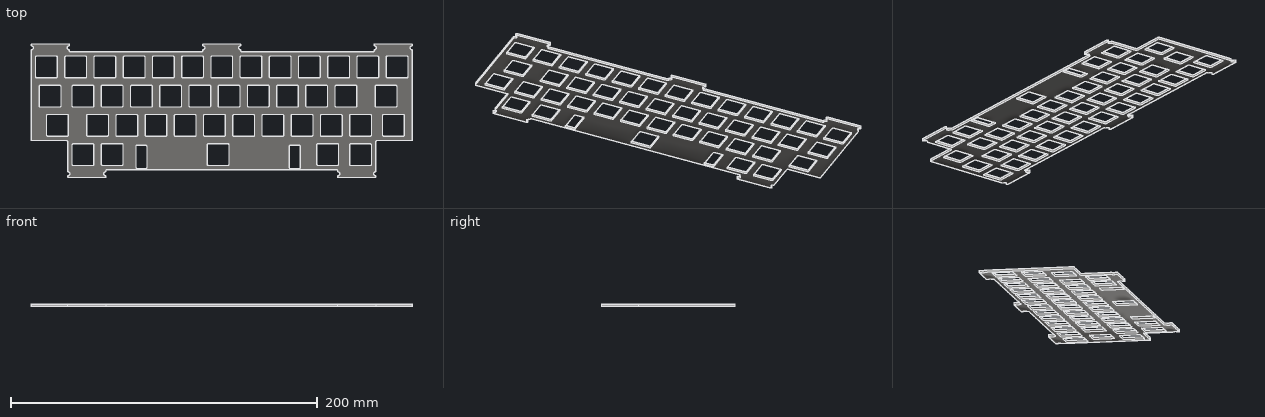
import cadquery as cq

UNIT = 19.05
ROW_UNITS = 13
ROW_COUNT = 4
BOTTOM_ROW_UNITS = 10.5
SWITCH_SIZE = 14.0
OPENING_RADIUS = 0.5

THICKNESS = 1.5
MARGIN = 0.475
CORNER_RADIUS = 0.5

TAB_WIDTH = 25.0
TAB_DEPTH = 5.0
NOTCH_RADIUS = 1.2
NOTCH_OFFSET = 0.25
NOTCH_INSET = 2.5

SPACEBAR_CENTER = -0.125
STABILIZER_SPACING = 100.0
STABILIZER_WIDTH = 7.0
STABILIZER_LENGTH = 15.0
STABILIZER_DROP = 1.5

WIDE_KEY_OUTER = 5.875
WIDE_KEY_INNER = 5.625

RUN_LENGTH = 10
UPPER_RUN_START = -4.75
LOWER_RUN_START = -4.25

SWITCH_ROWS = [
    [i - (ROW_UNITS - 1) / 2 for i in range(ROW_UNITS)],
    [-WIDE_KEY_OUTER] + [UPPER_RUN_START + i for i in range(RUN_LENGTH)] + [WIDE_KEY_INNER],
    [-WIDE_KEY_INNER] + [LOWER_RUN_START + i for i in range(RUN_LENGTH)] + [WIDE_KEY_OUTER],
    [-4.75, -3.75, SPACEBAR_CENTER, 3.625, 4.75],
]

HALF_WIDTH = ROW_UNITS * UNIT / 2 + MARGIN
HALF_BOTTOM_WIDTH = BOTTOM_ROW_UNITS * UNIT / 2 + MARGIN
HALF_DEPTH = ROW_COUNT * UNIT / 2 + MARGIN
TAB_END = HALF_DEPTH + TAB_DEPTH
STEP_Y = -UNIT - MARGIN

TOP_TAB_CENTERS = [-HALF_WIDTH + TAB_WIDTH / 2, 0, HALF_WIDTH - TAB_WIDTH / 2]
BOTTOM_TAB_CENTERS = [
    -HALF_BOTTOM_WIDTH + TAB_WIDTH / 2,
    HALF_BOTTOM_WIDTH - TAB_WIDTH / 2,
]


def row_y(row):
    """Y of the centre line of a key row, counted from the top."""
    return ((ROW_COUNT - 1) / 2 - row) * UNIT


def box(x_min, x_max, y_min, y_max):
    """Full-thickness block between the given limits."""
    return (
        cq.Workplane("XY")
        .box(x_max - x_min, y_max - y_min, THICKNESS, centered=False)
        .translate((x_min, y_min, 0))
    )


def tab(center_x, side):
    """Tab on the upper (side = 1) or lower (side = -1) plate edge."""
    y_min, y_max = sorted((0, side * TAB_END))
    half = TAB_WIDTH / 2
    return box(center_x - half, center_x + half, y_min, y_max)


def tab_notches(center_x, side):
    """Pair of round notches in the two sides of a tab."""
    reach = TAB_WIDTH / 2 - NOTCH_OFFSET
    y = side * (TAB_END - NOTCH_INSET)
    return (
        cq.Workplane("XY")
        .pushPoints([(center_x - reach, y), (center_x + reach, y)])
        .circle(NOTCH_RADIUS)
        .extrude(THICKNESS)
    )


def plate_blank():
    """Stepped plate with its notched tabs and rounded outline corners."""
    tabs = [(x, 1) for x in TOP_TAB_CENTERS] + [(x, -1) for x in BOTTOM_TAB_CENTERS]
    blank = box(-HALF_WIDTH, HALF_WIDTH, STEP_Y, HALF_DEPTH)
    blank = blank.union(box(-HALF_BOTTOM_WIDTH, HALF_BOTTOM_WIDTH, -HALF_DEPTH, 0))
    for center_x, side in tabs:
        blank = blank.union(tab(center_x, side))
    blank = blank.clean()
    for center_x, side in tabs:
        blank = blank.cut(tab_notches(center_x, side))
    return blank.edges("|Z").fillet(CORNER_RADIUS)


def openings(centers, width, length):
    """Rectangular through openings with rounded corners."""
    return (
        cq.Workplane("XY")
        .pushPoints(centers)
        .rect(width, length)
        .extrude(THICKNESS)
        .edges("|Z")
        .fillet(OPENING_RADIUS)
    )


def switch_openings():
    """Square openings of all key rows."""
    centers = [
        (x * UNIT, row_y(row))
        for row, columns in enumerate(SWITCH_ROWS)
        for x in columns
    ]
    return openings(centers, SWITCH_SIZE, SWITCH_SIZE)


def stabilizer_openings():
    """Two slots beside the spacebar switch."""
    y = row_y(ROW_COUNT - 1) - STABILIZER_DROP
    x = SPACEBAR_CENTER * UNIT
    centers = [(x + side * STABILIZER_SPACING / 2, y) for side in (-1, 1)]
    return openings(centers, STABILIZER_WIDTH, STABILIZER_LENGTH)


result = plate_blank().cut(switch_openings()).cut(stabilizer_openings())